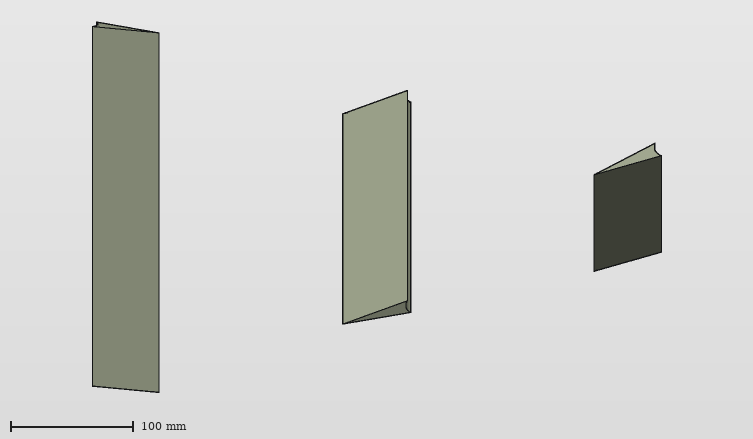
import cadquery as cq

length = 311.2
width = 56.5
thickness = 11.8
hollow_depth = 2.65
thin_edge_offset = 1.4

front_corner = (0, 0)
thin_edge = (width, thin_edge_offset)
back_corner = (0, thickness)
hollow_bottom = (hollow_depth, thickness / 2)

profile = (
    cq.Workplane("XY")
    .moveTo(*front_corner)
    .lineTo(*thin_edge)
    .lineTo(*back_corner)
    .threePointArc(hollow_bottom, front_corner)
    .close()
)

result = profile.extrude(length)